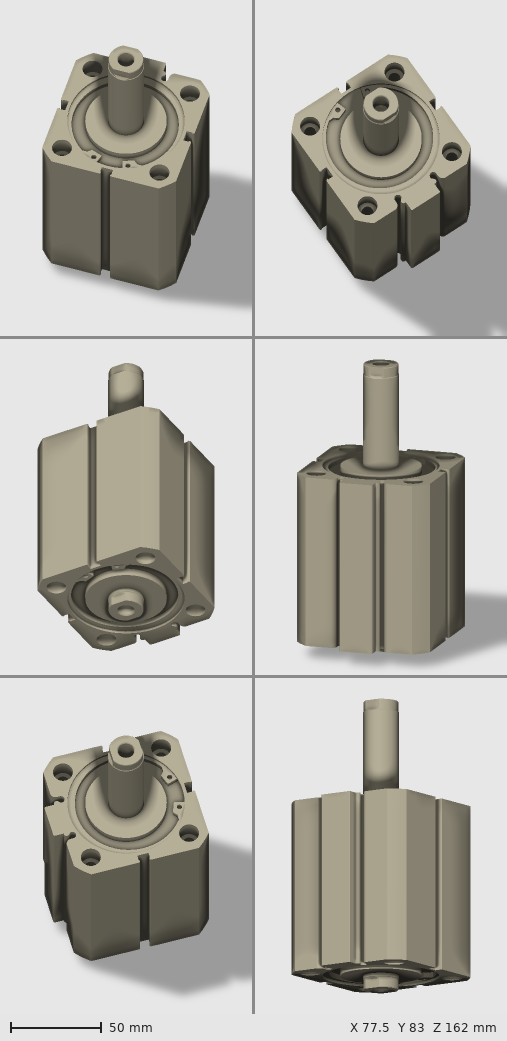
import cadquery as cq
import math


BODY_WIDTH = 77.5
BODY_HEIGHT = 96.0
CORNER_RADIUS = 49.5
BORE_RADIUS = 32.4
HALF_WIDTH = BODY_WIDTH / 2

HOLE_OFFSET = 28.2
HOLE_DIAMETER = 6.5
COUNTERBORE_DIAMETER = 11.0
COUNTERBORE_DEPTH = 10.5

SLOT_DEPTH = 4.5
SLOT_HALF_WIDTH = 3.2
LIP_HALF_OPENING = 2.8
LIP_DEPTH = 1.3
MOUTH_CHAMFER = 0.5
SLOT_FLOOR = HALF_WIDTH - SLOT_DEPTH

RAIL_HALF_WIDTH = 9.5
RAIL_TOP = 44.2
RAIL_EDGE_CHAMFER = 0.5
LIP_TOP = 38.4
LIP_HALF_WIDTH = 11.5
LIP_NOSE_HEIGHT = 1.3
LIP_CHAMFER = 0.8
GROOVE_WIDTH = 4.0
GROOVE_RADIUS = GROOVE_WIDTH / 2
GROOVE_CENTER_X = 11.8
GROOVE_CENTER_Y = 34.0
FLARE_WIDTH = 2.5
FLARE_HEIGHT = 3.0

RING_INSET = 1.5
RING_THICKNESS = 2.9
RING_GROOVE_DIAMETER = 67.9
RING_GROOVE_RADIUS = RING_GROOVE_DIAMETER / 2
RING_INNER_RADIUS = 29.6
RING_INNER_CENTER_Y = -1.5
RING_GAP_HALF_ANGLE = math.radians(14)
LUG_TIP = (6.0, -25.8)
LUG_CREST = (12.2, -23.5)
LUG_ROOT_X = 14.4
LUG_ROOT_Y = -25.5
LUG_HOLE_X = 9.9
LUG_HOLE_Y = -27.9
LUG_HOLE_DIAMETER = 2.9

BOSS_RADIUS = 22.5
COLLAR_DECK = RING_INSET + RING_THICKNESS
COLLAR_THICKNESS = 16.2

ROD_DIAMETER = 20.0
ROD_RADIUS = ROD_DIAMETER / 2
ROD_TIP_DIAMETER = 19.3
ROD_TIP_RADIUS = ROD_TIP_DIAMETER / 2
ROD_TOP_LENGTH = 58.0
ROD_BOTTOM_LENGTH = 8.0
TIP_LENGTH = 5.8
TIP_CHAMFER_WIDTH = 0.25
TIP_CHAMFER_HEIGHT = 0.5
WIDTH_ACROSS_FLATS = 17.0
FLAT_HALF_WIDTH = WIDTH_ACROSS_FLATS / 2
FLAT_LENGTH = 5.0
THREAD_RADIUS = 4.5
THREAD_DEPTH = 15.0
THREAD_CHAMFER = 0.5
DRILL_HALF_ANGLE = math.radians(59)
ROD_TOP = BODY_HEIGHT + ROD_TOP_LENGTH
ROD_BOTTOM = -ROD_BOTTOM_LENGTH


def flipped_to_bottom(body):
    """Mirror a body at the top end of the tube onto the bottom end."""
    middle = (0, 0, BODY_HEIGHT / 2)
    return body.mirror("XY", middle)


def disc(radius, z_low, z_high):
    return cq.Workplane("XY").workplane(offset=z_low).circle(radius).extrude(z_high - z_low)


def side_slot():
    """Cutter for the lipped slot on the -Y side, with a chamfered mouth."""
    lip_inside = HALF_WIDTH - LIP_DEPTH
    half = [
        (SLOT_HALF_WIDTH, SLOT_FLOOR),
        (SLOT_HALF_WIDTH, lip_inside),
        (LIP_HALF_OPENING, lip_inside),
        (LIP_HALF_OPENING, HALF_WIDTH - MOUTH_CHAMFER),
        (SLOT_HALF_WIDTH, HALF_WIDTH),
    ]
    right = [(x, -y) for x, y in half]
    left = [(-x, y) for x, y in reversed(right)]
    return cq.Workplane("XY").polyline(right + left).close().extrude(BODY_HEIGHT)


def rail():
    """Rail on the +Y side, reaching down into the tube between its two grooves."""
    block = (
        cq.Workplane("XY")
        .moveTo(0, (RAIL_TOP + GROOVE_CENTER_Y) / 2)
        .rect(2 * RAIL_HALF_WIDTH, RAIL_TOP - GROOVE_CENTER_Y)
        .extrude(BODY_HEIGHT)
    )
    return block.faces(">Y").edges("|Z").chamfer(RAIL_EDGE_CHAMFER)


def rail_groove():
    """Cutter for the groove on the +X flank of the rail, under the rail's lip."""
    inner_x = GROOVE_CENTER_X - GROOVE_RADIUS
    outer_x = GROOVE_CENTER_X + GROOVE_RADIUS
    lip_bottom = LIP_TOP - LIP_CHAMFER - LIP_NOSE_HEIGHT
    lip_reach = LIP_HALF_WIDTH - inner_x
    return (
        cq.Workplane("XY")
        .moveTo(RAIL_HALF_WIDTH, HALF_WIDTH)
        .lineTo(RAIL_HALF_WIDTH, LIP_TOP)
        .lineTo(LIP_HALF_WIDTH - LIP_CHAMFER, LIP_TOP)
        .lineTo(LIP_HALF_WIDTH, LIP_TOP - LIP_CHAMFER)
        .lineTo(LIP_HALF_WIDTH, lip_bottom)
        .lineTo(inner_x, lip_bottom - lip_reach)
        .lineTo(inner_x, GROOVE_CENTER_Y)
        .threePointArc((GROOVE_CENTER_X, GROOVE_CENTER_Y - GROOVE_RADIUS), (outer_x, GROOVE_CENTER_Y))
        .lineTo(outer_x, HALF_WIDTH - FLARE_HEIGHT)
        .tangentArcPoint((outer_x + FLARE_WIDTH, HALF_WIDTH), relative=False)
        .close()
        .extrude(BODY_HEIGHT)
    )


def make_tube():
    tube = cq.Workplane("XY").rect(BODY_WIDTH, BODY_WIDTH).extrude(BODY_HEIGHT)
    tube = tube.intersect(disc(CORNER_RADIUS, 0, BODY_HEIGHT))

    tube = tube.union(rail())
    groove = rail_groove()
    tube = tube.cut(groove).cut(groove.mirror("YZ"))

    slot = side_slot()
    for angle in (-90, 0, 90):
        tube = tube.cut(slot.rotate((0, 0, 0), (0, 0, 1), angle))

    tube = tube.cut(disc(BORE_RADIUS, 0, BODY_HEIGHT))
    ring_groove = disc(RING_GROOVE_RADIUS, BODY_HEIGHT - COLLAR_DECK, BODY_HEIGHT - RING_INSET)
    tube = tube.cut(ring_groove).cut(flipped_to_bottom(ring_groove))

    centers = [(x, y) for x in (-HOLE_OFFSET, HOLE_OFFSET) for y in (-HOLE_OFFSET, HOLE_OFFSET)]
    holes = cq.Workplane("XY").pushPoints(centers).circle(HOLE_DIAMETER / 2).extrude(BODY_HEIGHT)
    counterbores = (
        cq.Workplane("XY")
        .workplane(offset=BODY_HEIGHT - COUNTERBORE_DEPTH)
        .pushPoints(centers)
        .circle(COUNTERBORE_DIAMETER / 2)
        .extrude(COUNTERBORE_DEPTH)
    )
    return tube.cut(holes).cut(counterbores).cut(flipped_to_bottom(counterbores))


def make_collar():
    """Top collar: a bored disc with a boss flush with the end face of the tube."""
    deck_z = BODY_HEIGHT - COLLAR_DECK
    bottom_z = deck_z - COLLAR_THICKNESS
    collar = disc(BORE_RADIUS, bottom_z, deck_z).union(disc(BOSS_RADIUS, deck_z, BODY_HEIGHT))
    return collar.cut(disc(ROD_RADIUS, bottom_z, BODY_HEIGHT))


def make_retaining_ring():
    """Top ring: eccentric, open on the -Y side, with a drilled lug at each end."""
    gap_x = RING_GROOVE_RADIUS * math.sin(RING_GAP_HALF_ANGLE)
    gap_y = -RING_GROOVE_RADIUS * math.cos(RING_GAP_HALF_ANGLE)
    inner_top = RING_INNER_CENTER_Y + RING_INNER_RADIUS
    inner_end_x = math.sqrt(RING_INNER_RADIUS**2 - (LUG_ROOT_Y - RING_INNER_CENTER_Y) ** 2)
    return (
        cq.Workplane("XY")
        .workplane(offset=BODY_HEIGHT - COLLAR_DECK)
        .moveTo(gap_x, gap_y)
        .threePointArc((0, RING_GROOVE_RADIUS), (-gap_x, gap_y))
        .lineTo(-LUG_TIP[0], LUG_TIP[1])
        .lineTo(-LUG_CREST[0], LUG_CREST[1])
        .lineTo(-LUG_ROOT_X, LUG_ROOT_Y)
        .lineTo(-inner_end_x, LUG_ROOT_Y)
        .threePointArc((0, inner_top), (inner_end_x, LUG_ROOT_Y))
        .lineTo(LUG_ROOT_X, LUG_ROOT_Y)
        .lineTo(*LUG_CREST)
        .lineTo(*LUG_TIP)
        .close()
        .pushPoints([(-LUG_HOLE_X, LUG_HOLE_Y), (LUG_HOLE_X, LUG_HOLE_Y)])
        .circle(LUG_HOLE_DIAMETER / 2)
        .extrude(RING_THICKNESS)
    )


def revolved(points):
    """Revolve an outline of (radius, Z) points about the rod axis, starting from the -Y side."""
    outline = [(-radius, z) for radius, z in points]
    return cq.Workplane("YZ").polyline(outline).close().revolve(360, (0, 0), (0, 1))


def wrench_flats():
    """Cutters for the two flats on the top tip, each running out on a 45 degree ramp."""
    ramp = ROD_RADIUS - FLAT_HALF_WIDTH
    flat_end = ROD_TOP - FLAT_LENGTH
    flat = (
        cq.Workplane("YZ")
        .polyline([
            (FLAT_HALF_WIDTH, ROD_TOP),
            (FLAT_HALF_WIDTH, flat_end),
            (ROD_RADIUS, flat_end - ramp),
            (ROD_RADIUS, ROD_TOP),
        ])
        .close()
        .extrude(ROD_RADIUS, both=True)
    )
    return flat.union(flat.mirror("XZ"))


def threaded_hole():
    """Cutter for the blind hole in the top tip: entry chamfer, bore and drill point."""
    hole_end = ROD_TOP - THREAD_DEPTH
    drill_point = hole_end - THREAD_RADIUS / math.tan(DRILL_HALF_ANGLE)
    return revolved([
        (0, ROD_TOP),
        (THREAD_RADIUS + THREAD_CHAMFER, ROD_TOP),
        (THREAD_RADIUS, ROD_TOP - THREAD_CHAMFER),
        (THREAD_RADIUS, hole_end),
        (0, drill_point),
    ])


def make_rod():
    shoulder_chamfer = ROD_RADIUS - ROD_TIP_RADIUS
    end_profile = [
        (ROD_RADIUS, TIP_LENGTH + shoulder_chamfer),
        (ROD_TIP_RADIUS, TIP_LENGTH),
        (ROD_TIP_RADIUS, TIP_CHAMFER_HEIGHT),
        (ROD_TIP_RADIUS - TIP_CHAMFER_WIDTH, 0),
        (0, 0),
    ]
    top = [(radius, ROD_TOP - depth) for radius, depth in end_profile]
    bottom = [(radius, ROD_BOTTOM + depth) for radius, depth in reversed(end_profile)]
    rod = revolved(top + bottom)

    rod_middle = (0, 0, (ROD_TOP + ROD_BOTTOM) / 2)
    for cutter in (wrench_flats(), threaded_hole()):
        rod = rod.cut(cutter).cut(cutter.mirror("XY", rod_middle))
    return rod


tube = make_tube()
rod = make_rod()
top_collar = make_collar()
top_ring = make_retaining_ring()
collars = [top_collar, flipped_to_bottom(top_collar)]
rings = [top_ring, flipped_to_bottom(top_ring)]

result = cq.Compound.makeCompound([
    tube.val(),
    rod.val(),
    *[collar.val() for collar in collars],
    *[ring.val() for ring in rings],
])